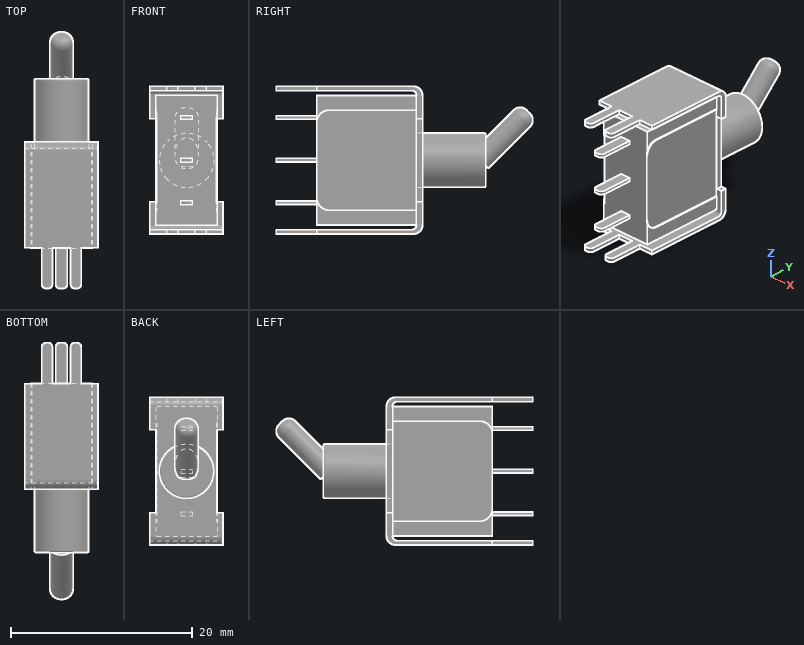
import cadquery as cq
import math


bracket_width = 8.1
bracket_height = 16.3
plate_thickness = 0.7
leg_thickness = 0.5
outer_bend_radius = 1.05
inner_bend_radius = 0.48
leg_length = 11.67
plate_waist_height = 9.12
finger_width = 1.2
finger_spacing = 3.17

housing_width = 6.75
housing_height = 14.3
housing_back = 11.7
panel_height = 11.05
panel_depth = 0.1
panel_corner_radius = 1.42

pin_reach = 16.17
terminal_width = 1.3
terminal_thickness = 0.42
terminal_spacing = 4.7
tip_radius = 0.48

bushing_diameter = 6.0
bushing_length = 6.97
bushing_edge_radius = 0.23
lever_diameter = 2.6
lever_angle = 45.0
lever_pivot = 6.32
lever_tip_radius = 1.0
overall_length = 28.32
lever_reach = overall_length - pin_reach


def block(width, front, back, height, z=0):
    """Box centred on X and on the given Z, from Y = -front to Y = -back."""
    length = back - front
    return cq.Workplane("XY").box(width, length, height).translate((0, -(front + back) / 2, z))


def prong(width, front, thickness, x, z):
    """Flat pin reaching back to pin_reach, with rounded corners at its tip."""
    pin = block(width, front, pin_reach, thickness)
    return pin.edges("<Y and |Z").fillet(tip_radius).translate((x, 0, z))


def bushing_cylinder(diameter, length):
    """Cylinder on the Y axis, from the housing's front face forward to Y = length."""
    return (
        cq.Workplane("XZ", origin=(0, length, 0))
        .circle(diameter / 2)
        .extrude(length + plate_thickness)
    )


def make_bracket():
    channel = block(bracket_width, 0, leg_length, bracket_height)
    channel = channel.edges(">Y and |X").fillet(outer_bend_radius)
    cavity = block(bracket_width, plate_thickness, leg_length, bracket_height - 2 * leg_thickness)
    cavity = cavity.edges(">Y and |X").fillet(inner_bend_radius)
    bracket = channel.cut(cavity)

    waist = block(bracket_width, 0, plate_thickness, plate_waist_height)
    waist = waist.cut(block(housing_width, 0, plate_thickness, plate_waist_height))
    bracket = bracket.cut(waist)

    leg_z = (bracket_height - leg_thickness) / 2
    for z in (-leg_z, leg_z):
        for x in (-finger_spacing / 2, finger_spacing / 2):
            bracket = bracket.union(prong(finger_width, leg_length, leg_thickness, x, z))

    return bracket.cut(bushing_cylinder(bushing_diameter, 0))


def make_panel_recess():
    """Shallow side recess, centred on X = 0, with rounded rear corners."""
    recess = block(2 * panel_depth, plate_thickness, housing_back, panel_height)
    return recess.edges("<Y and |X").fillet(panel_corner_radius)


def make_lever():
    """Lever starting at the bushing axis, tilted upward from +Y."""
    tilt = math.radians(lever_angle)
    tip_ring_radius = lever_diameter / 2 - lever_tip_radius
    tip_ring_y = lever_reach - lever_tip_radius - tip_ring_radius * math.sin(tilt)
    length = (tip_ring_y - lever_pivot) / math.cos(tilt) + lever_tip_radius
    axis = (0, math.cos(tilt), math.sin(tilt))
    base = cq.Plane(origin=(0, lever_pivot, 0), xDir=(1, 0, 0), normal=axis)
    lever = cq.Workplane(base).circle(lever_diameter / 2).extrude(length)
    tip_face = lever.faces(cq.selectors.DirectionMinMaxSelector(cq.Vector(*axis)))
    return tip_face.edges().fillet(lever_tip_radius)


def make_switch():
    switch = block(housing_width, plate_thickness, housing_back, housing_height)
    for x in (-housing_width / 2, housing_width / 2):
        switch = switch.cut(make_panel_recess().translate((x, 0, 0)))

    bushing = bushing_cylinder(bushing_diameter, bushing_length)
    bushing = bushing.faces(">Y").edges().fillet(bushing_edge_radius)
    switch = switch.union(bushing).union(make_lever())

    for z in (-terminal_spacing, 0, terminal_spacing):
        switch = switch.union(prong(terminal_width, housing_back, terminal_thickness, 0, z))
    return switch


bracket = make_bracket()
switch = make_switch()

result = cq.Compound.makeCompound([bracket.solids().val(), switch.solids().val()])